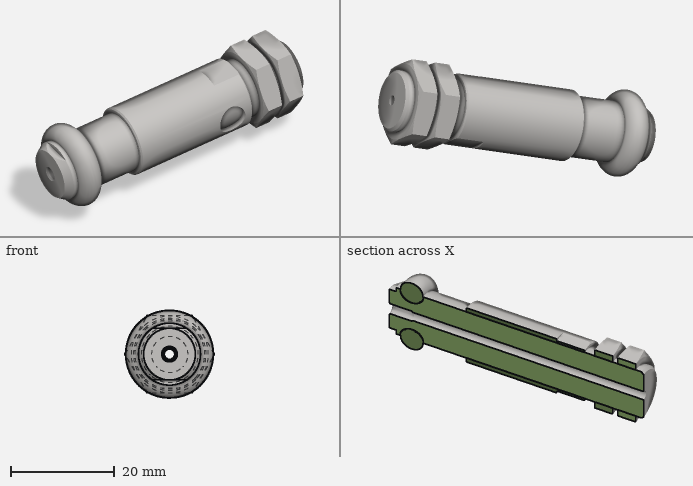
import cadquery as cq
import math

LENGTH = 55.5

ROD_RADIUS = 6.0
BORE_RADIUS = 1.0
COUNTERBORE_RADIUS = 1.2
COUNTERBORE_DEPTH = 5.0
BORE_MOUTH_RADIUS = 1.5
BORE_CHAMFER = BORE_MOUTH_RADIUS - COUNTERBORE_RADIUS
TIP_RADIUS = 5.0
TIP_LENGTH = 1.5
REAR_FACE_RADIUS = 5.465
REAR_CHAMFER_LENGTH = 0.55

RING_SECTION_RADIUS = 2.5
RING_CENTER_RADIUS = ROD_RADIUS
RING_Y = 4.95

SLEEVE_RADIUS = 7.0
SLEEVE_LENGTH = 26.0
SLEEVE_FRONT_Y = 16.7
SLEEVE_REAR_Y = SLEEVE_FRONT_Y + SLEEVE_LENGTH
SLEEVE_CHAMFER = 0.3
SLEEVE_FLAT_OFFSET = 6.5
SLEEVE_FLAT_LENGTH = 6.1
PORT_RADIUS = 2.95
PORT_Y = 37.95

NUT_ACROSS_FLATS = 15.0
NUT_ACROSS_CORNERS = NUT_ACROSS_FLATS / math.cos(math.radians(30))
NUT_THICKNESS = 4.0
NUT_FACE_RADIUS = 7.45
NUT_CHAMFER_ANGLE = 20.0
NUT_PITCH = 5.0
REAR_STUB_LENGTH = 1.7
NUT_COUNT = 2
REAR_NUT_FRONT_Y = LENGTH - REAR_STUB_LENGTH - NUT_THICKNESS


def turned(points):
    """Revolve a closed (radius, Y) outline about the Y axis."""
    return cq.Workplane("XY").polyline(points).close().revolve(360, (0, 0, 0), (0, 1, 0))


def flats(offset, start_y, length):
    """Two blocks whose inner faces are horizontal flats above and below the axis."""
    width = 2 * SLEEVE_RADIUS
    height = SLEEVE_RADIUS
    blocks = cq.Workplane("XY")
    for side in (-1, 1):
        center = (0, start_y + length / 2, side * (offset + height / 2))
        blocks = blocks.add(cq.Workplane("XY").box(width, length, height).translate(center))
    return blocks.combine()


def make_ring():
    return (
        cq.Workplane("XY")
        .center(RING_CENTER_RADIUS, RING_Y)
        .circle(RING_SECTION_RADIUS)
        .revolve(360, (-RING_CENTER_RADIUS, 0, 0), (-RING_CENTER_RADIUS, 1, 0))
    )


def make_rod():
    rod = turned([
        (BORE_MOUTH_RADIUS, 0),
        (TIP_RADIUS, 0),
        (ROD_RADIUS, TIP_LENGTH),
        (ROD_RADIUS, LENGTH - REAR_CHAMFER_LENGTH),
        (REAR_FACE_RADIUS, LENGTH),
        (BORE_RADIUS, LENGTH),
        (BORE_RADIUS, COUNTERBORE_DEPTH),
        (COUNTERBORE_RADIUS, COUNTERBORE_DEPTH),
        (COUNTERBORE_RADIUS, BORE_CHAMFER),
    ])
    return rod.cut(flats(TIP_RADIUS, 0, TIP_LENGTH)).cut(make_ring())


def make_sleeve():
    face_radius = SLEEVE_RADIUS - SLEEVE_CHAMFER
    sleeve = turned([
        (ROD_RADIUS, SLEEVE_FRONT_Y),
        (face_radius, SLEEVE_FRONT_Y),
        (SLEEVE_RADIUS, SLEEVE_FRONT_Y + SLEEVE_CHAMFER),
        (SLEEVE_RADIUS, SLEEVE_REAR_Y - SLEEVE_CHAMFER),
        (face_radius, SLEEVE_REAR_Y),
        (ROD_RADIUS, SLEEVE_REAR_Y),
    ])
    sleeve = sleeve.cut(
        flats(SLEEVE_FLAT_OFFSET, SLEEVE_REAR_Y - SLEEVE_FLAT_LENGTH, SLEEVE_FLAT_LENGTH)
    )
    port = cq.Workplane("YZ").center(PORT_Y, 0).circle(PORT_RADIUS).extrude(SLEEVE_RADIUS)
    return sleeve.cut(port)


def make_nut(front_y):
    hexagon = (
        cq.Workplane("XZ", origin=(0, front_y, 0))
        .polygon(6, NUT_ACROSS_CORNERS)
        .circle(ROD_RADIUS)
        .extrude(-NUT_THICKNESS)
    )
    corner_radius = NUT_ACROSS_CORNERS / 2
    bevel = (corner_radius - NUT_FACE_RADIUS) * math.tan(math.radians(NUT_CHAMFER_ANGLE))
    rear_y = front_y + NUT_THICKNESS
    envelope = turned([
        (0, front_y),
        (NUT_FACE_RADIUS, front_y),
        (corner_radius, front_y + bevel),
        (corner_radius, rear_y - bevel),
        (NUT_FACE_RADIUS, rear_y),
        (0, rear_y),
    ])
    return hexagon.intersect(envelope)


rod = make_rod()
ring = make_ring()
sleeve = make_sleeve()
nuts = [make_nut(REAR_NUT_FRONT_Y - index * NUT_PITCH) for index in range(NUT_COUNT)]

result = cq.Compound.makeCompound(
    [rod.val(), ring.val(), sleeve.val(), *[nut.val() for nut in nuts]]
)